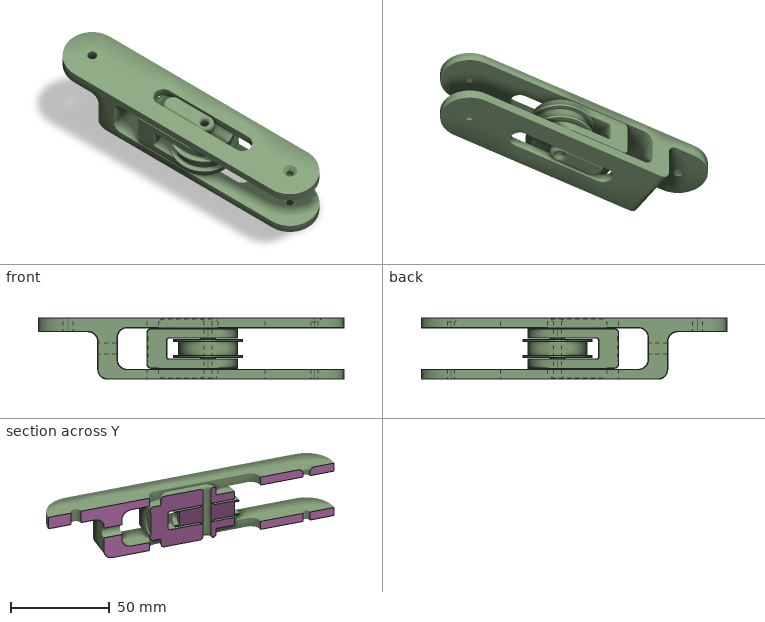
import cadquery as cq
import math

LENGTH = 155.0
WIDTH = 30.0
HEIGHT = 31.0
END_RADIUS = WIDTH / 2
PLATE_THICKNESS = 5.0
TAB_THICKNESS = 7.0
WEB_LEFT = 30.0
WEB_THICKNESS = 9.9
FRAME_FILLET = 5.0
SLOT_LEFT = 55.0
SLOT_RIGHT = 115.0
SLOT_WIDTH = 10.0
TAB_HOLE_DIAMETER = 5.0
WEB_HOLE_DIAMETER = 5.5
CLAMP_HOLE_DIAMETER = 3.5
COUNTERSINK_DIAMETER = 7.5
TAB_HOLE_X = END_RADIUS
CLAMP_HOLE_X = LENGTH - END_RADIUS
MID_Z = HEIGHT / 2
SELECT_MARGIN = 0.2

AXLE_X = 86.0
FORK_HEIGHT = 20.0
FORK_LENGTH = 46.0
FORK_BACK_THICKNESS = 10.0
FORK_GAP = 10.5
FORK_OUTER_FILLET = 2.0
FORK_INNER_FILLET = 1.0
FORK_RIGHT = AXLE_X + END_RADIUS
FORK_LEFT = FORK_RIGHT - FORK_LENGTH
FORK_TOP = MID_Z + FORK_HEIGHT / 2
GUIDE_CENTRE_SPACING = 20.0
GUIDE_HEIGHT = 5.0
GUIDE_FILLET = 2.0
AXLE_HOLE_DIAMETER = 4.0
SEAT_DIAMETER = 12.4
SEAT_DEPTH = 0.5

FLANGE_DIAMETER = 35.0
DRUM_DIAMETER = 30.0
WHEEL_HEIGHT = 9.0
FLANGE_THICKNESS = 1.0
HUB_DIAMETER = 7.5


def cylinder(diameter, bottom, top, x):
    """Upright cylinder on the centre plane at the given X."""
    return cq.Workplane("XY", origin=(x, 0, bottom)).circle(diameter / 2).extrude(top - bottom)


def block(left, right, bottom, top):
    """Box over the full part width between the given X and Z limits."""
    return (
        cq.Workplane("XY", origin=(0, 0, bottom))
        .center((left + right) / 2, 0)
        .rect(right - left, WIDTH)
        .extrude(top - bottom)
    )


def stadium(left, right, width, bottom, top):
    """Upright prism with round ends between the given X limits."""
    return (
        cq.Workplane("XY", origin=((left + right) / 2, 0, bottom))
        .slot2D(right - left, width)
        .extrude(top - bottom)
    )


def countersink(x, top):
    """Cone that opens to the countersink diameter at the given height."""
    radius = COUNTERSINK_DIAMETER / 2
    depth = radius
    tip = cq.Vector(x, 0, top - depth)
    return cq.Workplane(cq.Solid.makeCone(0, radius, depth, pnt=tip))


def make_frame():
    web_right = WEB_LEFT + WEB_THICKNESS
    frame = block(0, LENGTH, 0, HEIGHT)
    frame = frame.cut(block(0, WEB_LEFT, 0, HEIGHT - TAB_THICKNESS))
    frame = frame.cut(block(web_right, LENGTH, PLATE_THICKNESS, HEIGHT - PLATE_THICKNESS))

    for x in (WEB_LEFT, web_right):
        corners = cq.selectors.BoxSelector(
            (x - SELECT_MARGIN, -WIDTH, -SELECT_MARGIN),
            (x + SELECT_MARGIN, WIDTH, HEIGHT + SELECT_MARGIN),
        )
        frame = frame.edges("|Y").edges(corners).fillet(FRAME_FILLET)

    frame = frame.intersect(stadium(0, LENGTH, WIDTH, 0, HEIGHT))

    frame = frame.cut(stadium(SLOT_LEFT, SLOT_RIGHT, SLOT_WIDTH, 0, HEIGHT))

    frame = frame.cut(cylinder(TAB_HOLE_DIAMETER, 0, HEIGHT, TAB_HOLE_X))
    frame = frame.cut(cylinder(CLAMP_HOLE_DIAMETER, 0, HEIGHT, CLAMP_HOLE_X))
    frame = frame.cut(countersink(CLAMP_HOLE_X, HEIGHT))

    web_hole = (
        cq.Workplane("YZ", origin=(WEB_LEFT, 0, MID_Z)).circle(WEB_HOLE_DIAMETER / 2).extrude(WEB_THICKNESS)
    )
    return frame.cut(web_hole)


def make_guide():
    """Raised guide on top of the fork, with its upper rim rounded."""
    left = AXLE_X - GUIDE_CENTRE_SPACING - SLOT_WIDTH / 2
    right = AXLE_X + SLOT_WIDTH / 2
    guide = stadium(left, right, SLOT_WIDTH, FORK_TOP, FORK_TOP + GUIDE_HEIGHT)
    return guide.faces(">Z").edges().fillet(GUIDE_FILLET)


def rim_rounding():
    """Trumpet-shaped cutter that rounds the upper rim of the axle hole."""
    hole_radius = AXLE_HOLE_DIAMETER / 2
    top = FORK_TOP + GUIDE_HEIGHT
    bottom = top - GUIDE_FILLET
    arc_offset = GUIDE_FILLET * math.cos(math.radians(45))
    return (
        cq.Workplane("XZ", origin=(AXLE_X, 0, 0))
        .moveTo(0, bottom)
        .lineTo(hole_radius, bottom)
        .threePointArc(
            (hole_radius + GUIDE_FILLET - arc_offset, bottom + arc_offset),
            (hole_radius + GUIDE_FILLET, top),
        )
        .lineTo(0, top)
        .close()
        .revolve(360, (0, 0, 0), (0, 1, 0))
    )


def make_fork():
    gap_left = FORK_LEFT + FORK_BACK_THICKNESS
    fork = block(FORK_LEFT, FORK_RIGHT, FORK_TOP - FORK_HEIGHT, FORK_TOP)
    fork = fork.edges("|Y and <X").fillet(FORK_OUTER_FILLET)
    gap = block(gap_left, FORK_RIGHT, MID_Z - FORK_GAP / 2, MID_Z + FORK_GAP / 2)
    fork = fork.cut(gap.edges("|Y and <X").fillet(FORK_INNER_FILLET))

    envelope = cylinder(WIDTH, 0, HEIGHT, AXLE_X).union(block(FORK_LEFT, AXLE_X, 0, HEIGHT))
    fork = fork.intersect(envelope)

    seat = cq.Workplane("YZ", origin=(FORK_LEFT, 0, MID_Z)).circle(SEAT_DIAMETER / 2).extrude(SEAT_DEPTH)
    fork = fork.cut(seat)

    guide = make_guide()
    fork = fork.union(guide)
    fork = fork.union(guide.mirror("XY", (0, 0, MID_Z)))

    rounding = rim_rounding()
    fork = fork.cut(cylinder(AXLE_HOLE_DIAMETER, 0, HEIGHT, AXLE_X))
    fork = fork.cut(rounding)
    return fork.cut(rounding.mirror("XY", (0, 0, MID_Z)))


def make_wheel():
    bottom = MID_Z - WHEEL_HEIGHT / 2
    top = MID_Z + WHEEL_HEIGHT / 2
    wheel = cylinder(DRUM_DIAMETER, bottom, top, AXLE_X)
    wheel = wheel.union(cylinder(FLANGE_DIAMETER, bottom, bottom + FLANGE_THICKNESS, AXLE_X))
    wheel = wheel.union(cylinder(FLANGE_DIAMETER, top - FLANGE_THICKNESS, top, AXLE_X))
    wheel = wheel.union(cylinder(HUB_DIAMETER, MID_Z - FORK_GAP / 2, MID_Z + FORK_GAP / 2, AXLE_X))
    return wheel.cut(cylinder(AXLE_HOLE_DIAMETER, 0, HEIGHT, AXLE_X))


frame = make_frame()
fork = make_fork()
wheel = make_wheel()

result = cq.Compound.makeCompound([frame.val(), fork.val(), wheel.val()])